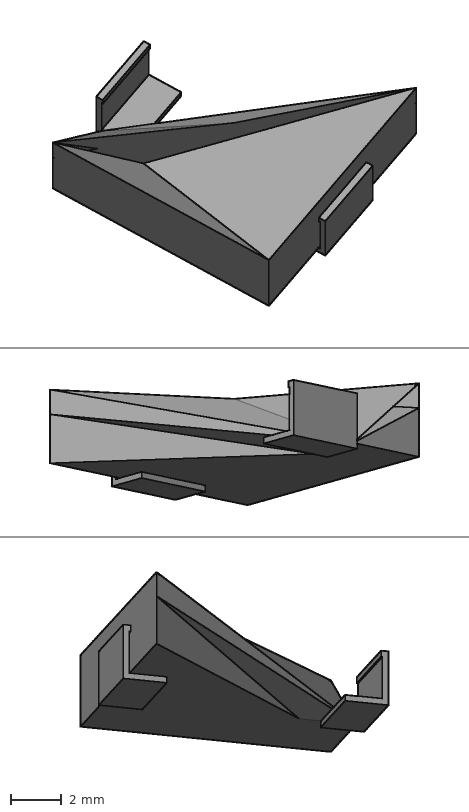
import cadquery as cq

OVERALL_LENGTH = 10.92
OVERALL_HEIGHT = 3.3
BODY_WIDTH = 10.31
BODY_BOTTOM = 0.31
TERMINAL_WIDTH = 3.32
TERMINAL_HEIGHT = 2.25
TERMINAL_THICKNESS = 0.25
FOOT_LENGTH = 1.79
LIP_LENGTH = 0.31
WEDGE_TOE_Y = -1.71
RIDGE_DIP = 0.5
POCKET_LOW_Z = 1.04
RECESS_EDGE_Z = 2.29
NOTCH_DEPTH_RATIO = 0.25
NOTCH_WALL = 0.04
UNDERCUT_END_X = -2.78

HALF_LENGTH = OVERALL_LENGTH / 2
BODY_HALF_LENGTH = HALF_LENGTH - LIP_LENGTH
BODY_HALF_WIDTH = BODY_WIDTH / 2


def corner(x_side, y_side, z):
    """Point on a vertical corner edge of the body."""
    return cq.Vector(x_side * BODY_HALF_LENGTH, y_side * BODY_HALF_WIDTH, z)


def polyhedron(outlines):
    """Solid bounded by flat polygonal faces."""
    faces = []
    for outline in outlines:
        wire = cq.Wire.makePolygon(outline, close=True)
        faces.append(cq.Face.makeFromWires(wire))
    return cq.Solid.makeSolid(cq.Shell.makeShell(faces))


def make_body():
    """Faceted wedge with a sagging diagonal ridge, a top pocket and two side recesses."""
    levels = (BODY_BOTTOM, RECESS_EDGE_Z, OVERALL_HEIGHT)
    left_low, left_middle, left_high = [corner(-1, -1, z) for z in levels]
    back_low, back_middle, back_high = [corner(1, 1, z) for z in levels]
    right_low = corner(1, -1, BODY_BOTTOM)
    right_high = corner(1, -1, OVERALL_HEIGHT)
    toe = cq.Vector(-BODY_HALF_LENGTH, WEDGE_TOE_Y, BODY_BOTTOM)
    ridge_dip = cq.Vector(0, 0, OVERALL_HEIGHT - RIDGE_DIP)
    pocket_low = cq.Vector(-BODY_HALF_LENGTH / 2, -BODY_HALF_WIDTH / 2, POCKET_LOW_Z)
    notch_end = left_middle + (ridge_dip - left_middle) * NOTCH_DEPTH_RATIO - cq.Vector(NOTCH_WALL, 0, 0)
    undercut_end = cq.Vector(UNDERCUT_END_X, WEDGE_TOE_Y, BODY_BOTTOM)

    outer_faces = [
        [left_low, toe, undercut_end, back_low, right_low],
        [left_low, right_low, right_high, left_high],
        [right_low, back_low, back_high, right_high],
        [left_low, left_middle, toe],
        [toe, back_middle, back_high],
        [toe, left_high, ridge_dip],
        [toe, ridge_dip, back_high],
    ]
    pocket_faces = [
        [left_high, right_high, pocket_low],
        [right_high, back_high, pocket_low],
        [left_high, pocket_low, back_high, ridge_dip],
    ]
    notch_faces = [
        [left_middle, notch_end, toe],
        [left_middle, left_high, notch_end],
        [left_high, toe, notch_end],
    ]
    undercut_faces = [
        [back_middle, toe, undercut_end],
        [back_middle, undercut_end, back_low],
    ]
    return polyhedron(outer_faces + pocket_faces + notch_faces + undercut_faces)


def make_terminal(side):
    """C-shaped strip beside the body; side is -1 for the left end and 1 for the right."""
    outer = side * HALF_LENGTH
    inner = side * (HALF_LENGTH - TERMINAL_THICKNESS)
    lip_end = side * BODY_HALF_LENGTH
    foot_end = side * (HALF_LENGTH - FOOT_LENGTH)
    lip_bottom = TERMINAL_HEIGHT - TERMINAL_THICKNESS
    profile = cq.Workplane("XZ").polyline([
        (outer, 0),
        (foot_end, 0),
        (foot_end, TERMINAL_THICKNESS),
        (inner, TERMINAL_THICKNESS),
        (inner, lip_bottom),
        (lip_end, lip_bottom),
        (lip_end, TERMINAL_HEIGHT),
        (outer, TERMINAL_HEIGHT),
    ]).close()
    return profile.extrude(TERMINAL_WIDTH / 2, both=True)


body = make_body()
terminals = [make_terminal(side) for side in (-1, 1)]

result = cq.Compound.makeCompound([body, *[terminal.val() for terminal in terminals]])